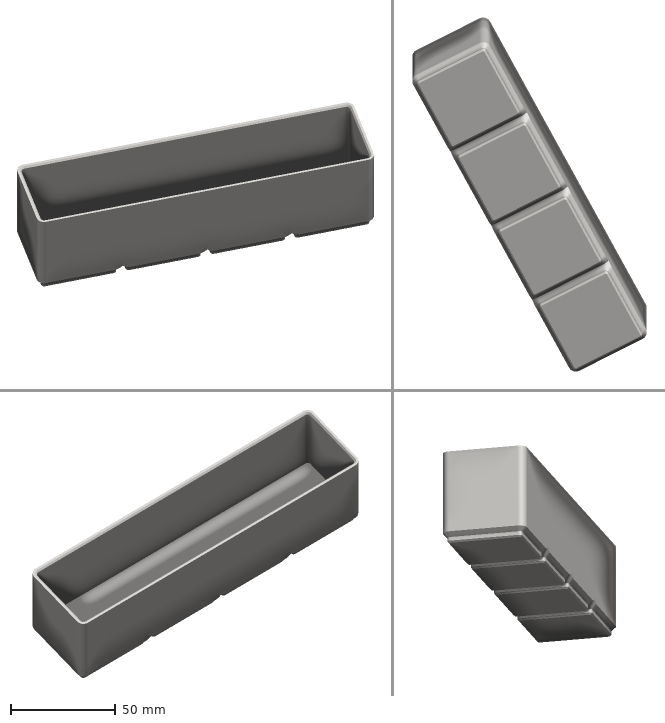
import cadquery as cq

WIDTH = 41.5
LENGTH = 167.5
HEIGHT = 45.0
CORNER_RADIUS = 3.7

FOOT_COUNT = 4
FOOT_PITCH = (LENGTH - WIDTH) / (FOOT_COUNT - 1)
TOE_CHAMFER = 0.8
BAND_HEIGHT = 1.8
FLARE_INSET = 2.2

FLARE_TOP = 6.7

WALL = 2.0
RIM_CHAMFER = 0.8
FLOOR_TOP = 7.0

FLARE_TAPER = -45


def rounded_block(width, length, radius, bottom, height, taper=0):
    """Block with rounded upright edges; a negative taper leans its sides outwards."""
    outline = cq.Sketch().rect(width, length).vertices().fillet(radius)
    plane = cq.Workplane("XY").workplane(offset=bottom)
    return plane.placeSketch(outline).extrude(height, taper=taper)


def make_foot():
    """Square foot with a chamfered toe, a straight band and a 45 degree flare."""
    band_side = WIDTH - 2 * FLARE_INSET
    band_radius = CORNER_RADIUS - FLARE_INSET
    toe_side = band_side - 2 * TOE_CHAMFER
    toe_radius = band_radius - TOE_CHAMFER
    band_top = TOE_CHAMFER + BAND_HEIGHT

    toe = rounded_block(toe_side, toe_side, toe_radius, 0, TOE_CHAMFER, FLARE_TAPER)
    band = rounded_block(band_side, band_side, band_radius, TOE_CHAMFER, BAND_HEIGHT)
    flare = rounded_block(band_side, band_side, band_radius, band_top, FLARE_TOP - band_top, FLARE_TAPER)
    return toe.union(band).union(flare)


def make_outer_body():
    """Solid bin standing on its row of feet."""
    body = rounded_block(WIDTH, LENGTH, CORNER_RADIUS, FLARE_TOP, HEIGHT - FLARE_TOP)
    foot = make_foot()
    for index in range(FOOT_COUNT):
        foot_y = (index - (FOOT_COUNT - 1) / 2) * FOOT_PITCH
        body = body.union(foot.translate((0, foot_y, 0)))

    envelope = rounded_block(WIDTH, LENGTH, CORNER_RADIUS, 0, HEIGHT)
    return body.intersect(envelope)


def make_cavity():
    """Pocket that opens out in a chamfer at the rim."""
    width = WIDTH - 2 * WALL
    length = LENGTH - 2 * WALL
    radius = CORNER_RADIUS - WALL
    rim_bottom = HEIGHT - RIM_CHAMFER

    pocket = rounded_block(width, length, radius, FLOOR_TOP, rim_bottom - FLOOR_TOP)
    rim = rounded_block(width, length, radius, rim_bottom, RIM_CHAMFER, FLARE_TAPER)
    return pocket.union(rim)


result = make_outer_body().cut(make_cavity())